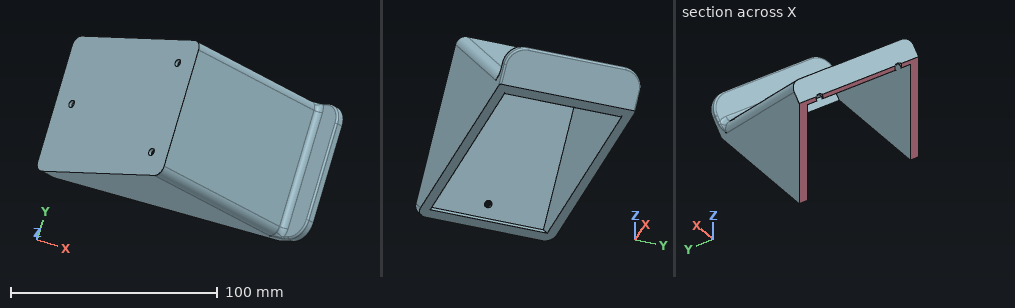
import cadquery as cq
import math

length = 137.5
width = 70.0
side = 90.0
tilt = 45
wall = 5.0
plate_thickness = 2.0
lip_corner_radius = 10.0
body_edge_radius = wall
crease_radius = 3.0
lip_edge_radius = 1.0
hole_diameter = 3.6
hole_inset = 12.0

tip_loss = lip_edge_radius * (math.sqrt(2) - 1)
lip_top = (length + tip_loss) / math.sin(math.radians(tilt)) - side
lip_front = side - wall
tolerance = 0.01


def make_body():
    """Block whose long edges are rounded; its top is the support face."""
    block = cq.Workplane("XY").box(side, width, side, centered=(False, True, False))
    return block.edges("|X").fillet(body_edge_radius)


def make_lip():
    """Upright slab at the far end with two rounded upper corners."""
    slab = cq.Workplane("XY").box(wall, width, lip_top, centered=(False, True, False))
    slab = slab.edges("|X and >Z").fillet(lip_corner_radius)
    return slab.translate((lip_front, 0, 0))


def round_crease(part):
    """Fillet the corner between the rounded body and the lip."""
    crease = cq.selectors.BoxSelector(
        (lip_front - tolerance, -width, side - body_edge_radius - tolerance),
        (lip_front + tolerance, width, side + tolerance),
        boundingbox=True,
    )
    return part.edges(crease).fillet(crease_radius)


def round_lip_edges(part):
    """Round the sides and the top of the lip, on its front and back faces."""
    outline = cq.selectors.BoxSelector(
        (lip_front - tolerance, -width, lip_top - lip_corner_radius - tolerance),
        (side + tolerance, width, lip_top + tolerance),
        boundingbox=True,
    )
    return part.edges(outline).edges("#X").fillet(lip_edge_radius)


def make_cavity():
    """Pocket that leaves the walls and opens through the ground side."""
    depth = lip_front - plate_thickness
    inner_width = width - 2 * wall
    height = side - 2 * wall
    pocket = cq.Workplane("XY").box(depth, inner_width, height, centered=(False, True, False))
    return pocket.translate((plate_thickness, 0, wall))


def make_screw_holes():
    """Two holes near the top of the plate and one centred near its bottom."""
    upper_y = width / 2 - hole_inset
    upper_z = side - hole_inset
    centres = [(-upper_y, upper_z), (upper_y, upper_z), (0, hole_inset)]
    holes = cq.Workplane("YZ").pushPoints(centres).circle(hole_diameter / 2)
    return holes.extrude(plate_thickness)


solid_body = round_lip_edges(round_crease(make_body().union(make_lip())))
upright_stand = solid_body.cut(make_cavity()).cut(make_screw_holes())

ground_drop = wall * math.sin(math.radians(tilt))
tilted_stand = upright_stand.rotate((0, 0, 0), (0, 1, 0), tilt).translate((0, 0, ground_drop))
above_ground = cq.Workplane("XY").box(length, width, length, centered=(False, True, False))

result = tilted_stand.intersect(above_ground)